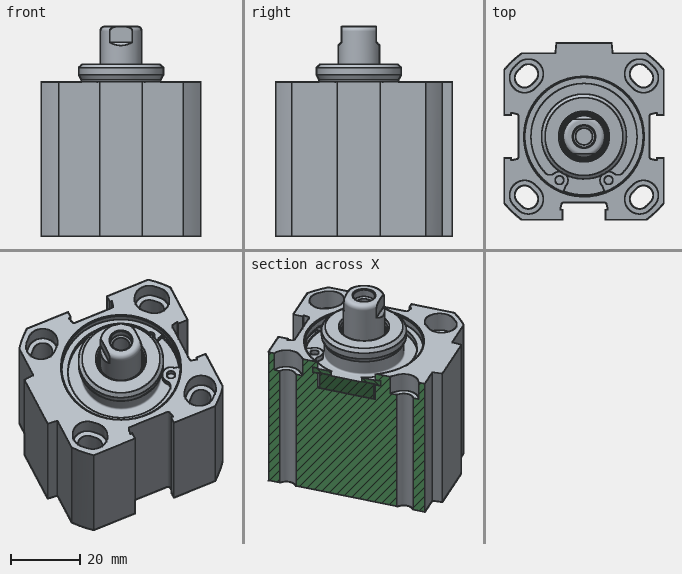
import cadquery as cq
import math


total_height = 60.5
housing_height = 44.5
half_width = 23.0
half_depth = 24.0
corner_radius = 30.0
tab_top_y = 27.0
tab_top_half_width = 8.0
tab_root_half_width = 8.3

slot_mouth_half_width = 6.2
slot_inner_half_width = 6.85
slot_floor_half_width = 6.35
slot_corner_radius = 0.55
side_lip_depth = 2.0
side_slot_depth = 4.05
front_lip_depth = 2.95
front_slot_depth = 4.95

mount_x = 16.6
mount_y = 17.5
mount_stretch = 1.6
mount_hole_diameter = 5.55
mount_bore_diameter = 8.6
mount_bore_depth = 5.75

bore_diameter = 34.1
bore_chamfer = 0.3
flange_top = 40.7
flange_thickness = 5.0
bore_floor = flange_top - flange_thickness

ring_thickness = 1.5
ring_outer_diameter = 35.8
ring_inner_diameter = 30.6
ring_gap_half_angle = 20.4
ear_radius = 2.5
ear_hole_diameter = 2.5
ear_x = 7.1
ear_y = -12.6
ear_fillet = 1.8

flange_diameter = 33.7
neck_diameter = 23.0
neck_fillet = 0.5
head_diameter = 24.5
head_top = 49.6
head_top_chamfer = 1.0
head_rim_bottom = 46.6
head_cone_bottom = 45.15
rod_clearance_diameter = 12.5
rod_clearance_depth = 3.6
wiper_lip_diameter = 13.1
wiper_lip_height = 0.6
wiper_recess_diameter = 13.7
wiper_recess_depth = 2.0
wiper_recess_chamfer = 0.5

rod_diameter = 12.0
rod_top_fillet = 1.35
flat_distance = 5.0
flat_height = 4.55
socket_diameter = 6.25
socket_chamfer = 0.25
socket_depth = 2.5
socket_step_height = 0.35
thread_hole_diameter = 4.9
thread_hole_depth = 12.1


def cylinder(diameter, bottom, top):
    return cq.Workplane("XY").workplane(offset=bottom).circle(diameter / 2).extrude(top - bottom)


def revolved(points):
    """Solid of revolution about Z from (radius, height) points."""
    return cq.Workplane("XZ").polyline(points).close().revolve(360, (0, 0, 0), (0, 1, 0))


def sensor_slot(reach, lip_depth, slot_depth):
    """Slot cutter open toward -Y on a face at Y = -reach."""
    lip_y = -reach + lip_depth
    floor_y = -reach + slot_depth
    right_side = [
        (slot_mouth_half_width, -reach),
        (slot_mouth_half_width, lip_y),
        (slot_inner_half_width, lip_y),
        (slot_floor_half_width, floor_y),
    ]
    left_side = [(-x, y) for x, y in reversed(right_side)]
    cutter = cq.Workplane("XY").polyline(right_side + left_side).close().extrude(housing_height)
    return cutter.edges("|Z").edges(">Y").fillet(slot_corner_radius)


def mount_cutter(x, y):
    """Through hole with a counterbore from the top, stretched across the corner diagonal."""
    stretch_angle = -45 * math.copysign(1, x * y)

    def stretched_hole(diameter, bottom):
        return (
            cq.Workplane("XY", origin=(x, y, bottom))
            .slot2D(mount_stretch + diameter, diameter, stretch_angle)
            .extrude(housing_height - bottom)
        )

    through_hole = stretched_hole(mount_hole_diameter, 0)
    return through_hole.union(stretched_hole(mount_bore_diameter, housing_height - mount_bore_depth))


def make_housing():
    body = cq.Workplane("XY").rect(2 * half_width, 2 * half_depth).extrude(housing_height)
    body = body.intersect(cylinder(2 * corner_radius, 0, housing_height))
    tab = (
        cq.Workplane("XY")
        .polyline([
            (-tab_root_half_width, half_depth),
            (tab_root_half_width, half_depth),
            (tab_top_half_width, tab_top_y),
            (-tab_top_half_width, tab_top_y),
        ])
        .close()
        .extrude(housing_height)
    )
    body = body.union(tab)

    body = body.cut(sensor_slot(half_depth, front_lip_depth, front_slot_depth))
    side_slot = sensor_slot(half_width, side_lip_depth, side_slot_depth)
    for turn in (-90, 90):
        body = body.cut(side_slot.rotate((0, 0, 0), (0, 0, 1), turn))

    for x in (-mount_x, mount_x):
        for y in (-mount_y, mount_y):
            body = body.cut(mount_cutter(x, y))

    bore_radius = bore_diameter / 2
    bore = revolved([
        (0, bore_floor),
        (bore_radius, bore_floor),
        (bore_radius, housing_height - bore_chamfer),
        (bore_radius + bore_chamfer, housing_height),
        (0, housing_height),
    ])
    ring_groove = cylinder(ring_outer_diameter, flange_top, flange_top + ring_thickness)
    return body.cut(bore).cut(ring_groove)


def make_snap_ring():
    ring_top = flange_top + ring_thickness
    outer = cylinder(ring_outer_diameter, flange_top, ring_top)
    ring = outer.cut(cylinder(ring_inner_diameter, flange_top, ring_top))

    wedge_y = -ring_outer_diameter
    wedge_x = ring_outer_diameter * math.tan(math.radians(ring_gap_half_angle))
    gap = (
        cq.Workplane("XY", origin=(0, 0, flange_top))
        .polyline([(0, 0), (-wedge_x, wedge_y), (wedge_x, wedge_y)])
        .close()
        .extrude(ring_thickness)
    )
    ring = ring.cut(gap)

    ear_places = [(-ear_x, ear_y), (ear_x, ear_y)]
    ears_plane = cq.Workplane("XY", origin=(0, 0, flange_top)).pushPoints(ear_places)
    ring = ring.union(ears_plane.circle(ear_radius).extrude(ring_thickness))

    inner_radius = ring_inner_diameter / 2
    ear_distance = math.hypot(ear_x, ear_y)
    ear_angle = math.atan2(ear_y, ear_x)
    half_spread = math.acos(
        (inner_radius**2 + ear_distance**2 - ear_radius**2) / (2 * inner_radius * ear_distance)
    )
    corner_x = inner_radius * math.cos(ear_angle + half_spread)
    corner_y = inner_radius * math.sin(ear_angle + half_spread)
    middle_z = flange_top + ring_thickness / 2
    for x in (-corner_x, corner_x):
        corner = cq.selectors.NearestToPointSelector((x, corner_y, middle_z))
        ring = ring.edges("|Z").edges(corner).fillet(ear_fillet)

    return ring.cut(ears_plane.circle(ear_hole_diameter / 2).extrude(ring_thickness))


def make_rod_cover():
    flange_radius = flange_diameter / 2
    neck_radius = neck_diameter / 2
    head_radius = head_diameter / 2
    fillet_middle = neck_fillet * (1 - math.sqrt(0.5))
    cover = (
        cq.Workplane("XZ")
        .moveTo(0, bore_floor)
        .lineTo(flange_radius, bore_floor)
        .lineTo(flange_radius, flange_top)
        .lineTo(neck_radius + neck_fillet, flange_top)
        .threePointArc(
            (neck_radius + fillet_middle, flange_top + fillet_middle),
            (neck_radius, flange_top + neck_fillet),
        )
        .lineTo(neck_radius, head_cone_bottom)
        .lineTo(head_radius, head_rim_bottom)
        .lineTo(head_radius, head_top - head_top_chamfer)
        .lineTo(head_radius - head_top_chamfer, head_top)
        .lineTo(0, head_top)
        .close()
        .revolve(360, (0, 0, 0), (0, 1, 0))
    )

    rod_radius = rod_diameter / 2
    clearance_radius = rod_clearance_diameter / 2
    recess_radius = wiper_recess_diameter / 2
    passage = revolved([
        (0, bore_floor),
        (rod_radius, bore_floor),
        (rod_radius, head_top - rod_clearance_depth),
        (clearance_radius, head_top - rod_clearance_depth),
        (clearance_radius, head_top - wiper_recess_depth - wiper_lip_height),
        (wiper_lip_diameter / 2, head_top - wiper_recess_depth),
        (recess_radius, head_top - wiper_recess_depth),
        (recess_radius, head_top - wiper_recess_chamfer),
        (recess_radius + wiper_recess_chamfer, head_top),
        (0, head_top),
    ])
    return cover.cut(passage)


def make_piston_rod():
    rod = cylinder(rod_diameter, bore_floor, total_height)
    rod = rod.faces(">Z").edges().fillet(rod_top_fillet)

    outer = rod_diameter
    flat_bottom = total_height - flat_height
    for side in (-1, 1):
        flat = (
            cq.Workplane("YZ")
            .polyline([
                (side * flat_distance, total_height),
                (side * flat_distance, flat_bottom),
                (side * outer, flat_bottom - (outer - flat_distance)),
                (side * outer, total_height),
            ])
            .close()
            .extrude(rod_diameter / 2, both=True)
        )
        rod = rod.cut(flat)

    socket_radius = socket_diameter / 2
    thread_radius = thread_hole_diameter / 2
    step_top = total_height - socket_depth
    socket = revolved([
        (0, total_height - thread_hole_depth),
        (thread_radius, total_height - thread_hole_depth),
        (thread_radius, step_top - socket_step_height),
        (socket_radius, step_top),
        (socket_radius, total_height - socket_chamfer),
        (socket_radius + socket_chamfer, total_height),
        (0, total_height),
    ])
    return rod.cut(socket)


housing = make_housing()
snap_ring = make_snap_ring()
rod_cover = make_rod_cover()
piston_rod = make_piston_rod()

result = cq.Compound.makeCompound(
    [housing.val(), snap_ring.val(), rod_cover.val(), piston_rod.val()]
)